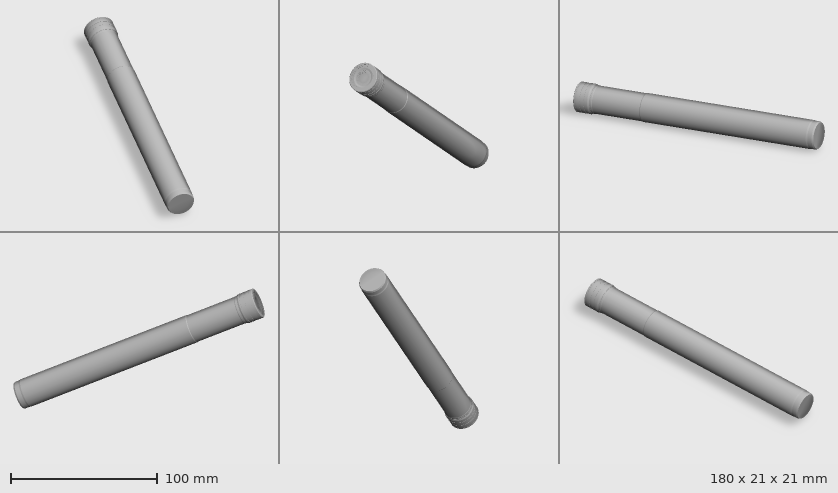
import cadquery as cq

TOTAL_LENGTH = 180.0
FRONT_X = -TOTAL_LENGTH / 2

HEAD_RADIUS = 21.0 / 2
NECK_RADIUS = 19.5 / 2
FRONT_CHAMFER = 0.4
HEAD_LENGTH = 10.6
COLLAR_RADIUS = 10.0
COLLAR_START = 11.7
COLLAR_END = 12.2
TAPER_START_RADIUS = 9.9
TAPER_START = 13.3
TAPER_END = 13.9

RIM_GROOVE_DEPTH = 0.09
GRIP_GROOVE_DEPTH = 0.2
RIM_GROOVE_WIDTH = 1.0
RIM_GROOVE_START = 1.3
GRIP_GROOVE_WIDTH = 1.6
GRIP_GROOVE_STARTS = (4.7, 8.0)

RIM_STEP_RADII = (9.4, 8.6, 8.0)
RIM_STEP_DEPTH = 0.2
CONE_OUTER_RADIUS = 7.0
CONE_INNER_RADIUS = 5.8
CONE_DEPTH = 0.4
SEAT_STEP_RADII = (5.0, 4.3, 3.8)
SEAT_STEP_DEPTH = 0.2

BARREL_RADIUS = 20.0 / 2
BARREL_START = 49.5
BARREL_CHAMFER = 0.5
BARREL_TAPER_START = 174.6
TAIL_START = 175.7
TAIL_RADIUS = NECK_RADIUS
TAIL_CHAMFER_LENGTH = 1.0
TAIL_CHAMFER_DEPTH = 0.5


def revolve_profile(points):
    """Revolve (distance behind the front face, radius) points around the X axis."""
    return (
        cq.Workplane("XY", origin=(FRONT_X, 0, 0))
        .polyline(points)
        .close()
        .revolve(360, (0, 0, 0), (1, 0, 0))
    )


def disc(start, length, radius):
    """Solid disc on the X axis, starting a distance behind the front face."""
    return cq.Workplane("YZ", origin=(FRONT_X + start, 0, 0)).circle(radius).extrude(length)


def ring_groove(start, width, groove_depth):
    """Cutter for a square groove around the head."""
    floor = disc(start, width, HEAD_RADIUS - groove_depth)
    return disc(start, width, HEAD_RADIUS + groove_depth).cut(floor)


def front_recess():
    """Cutter for the stepped rim, the cone behind it and the stepped seat."""
    points = [(0, 0)]
    depth = 0
    for radius in RIM_STEP_RADII:
        points.append((depth, radius))
        depth += RIM_STEP_DEPTH
        points.append((depth, radius))
    points.append((depth, CONE_OUTER_RADIUS))
    depth += CONE_DEPTH
    points.append((depth, CONE_INNER_RADIUS))
    for radius in SEAT_STEP_RADII:
        points.append((depth, radius))
        depth += SEAT_STEP_DEPTH
        points.append((depth, radius))
    points.append((depth, 0))
    return revolve_profile(points)


def make_head():
    """Grooved head with its neck, which ends against the barrel."""
    head = revolve_profile([
        (0, 0),
        (0, HEAD_RADIUS - FRONT_CHAMFER),
        (FRONT_CHAMFER, HEAD_RADIUS),
        (HEAD_LENGTH, HEAD_RADIUS),
        (COLLAR_START, COLLAR_RADIUS),
        (COLLAR_END, COLLAR_RADIUS),
        (COLLAR_END, TAPER_START_RADIUS),
        (TAPER_START, TAPER_START_RADIUS),
        (TAPER_END, NECK_RADIUS),
        (BARREL_START, NECK_RADIUS),
        (BARREL_START, 0),
    ])
    head = head.cut(ring_groove(RIM_GROOVE_START, RIM_GROOVE_WIDTH, RIM_GROOVE_DEPTH))
    for start in GRIP_GROOVE_STARTS:
        head = head.cut(ring_groove(start, GRIP_GROOVE_WIDTH, GRIP_GROOVE_DEPTH))
    return head.cut(front_recess())


def make_barrel():
    """Plain barrel with a reduced, chamfered tail."""
    return revolve_profile([
        (BARREL_START, 0),
        (BARREL_START, NECK_RADIUS),
        (BARREL_START + BARREL_CHAMFER, BARREL_RADIUS),
        (BARREL_TAPER_START, BARREL_RADIUS),
        (TAIL_START, TAIL_RADIUS),
        (TOTAL_LENGTH - TAIL_CHAMFER_LENGTH, TAIL_RADIUS),
        (TOTAL_LENGTH, TAIL_RADIUS - TAIL_CHAMFER_DEPTH),
        (TOTAL_LENGTH, 0),
    ])


head = make_head()
barrel = make_barrel()

result = cq.Compound.makeCompound([head.val(), barrel.val()])